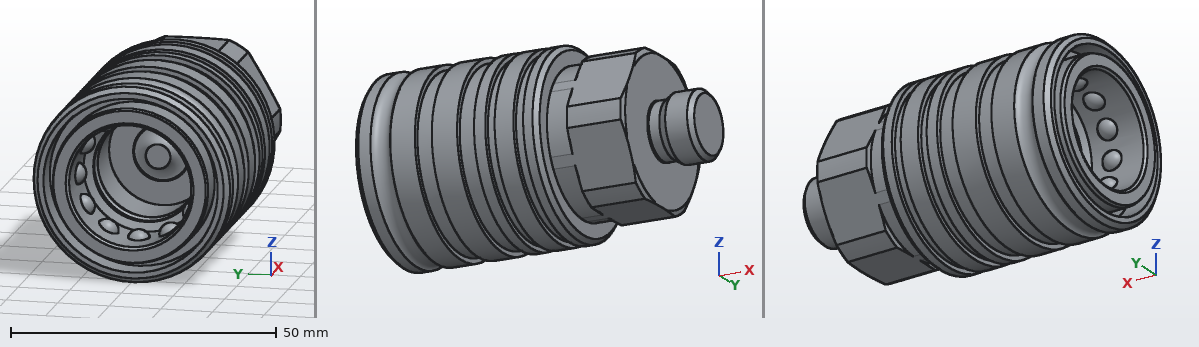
import cadquery as cq
import math


sleeve_start = 0.85
sleeve_end = 39.9
sleeve_radius = 19.0
sleeve_chamfer = 1.0
groove_cut_margin = 0.65
band_groove_radius = 17.95
band_grooves = [(13.9, 17.5), (22.9, 26.5), (28.85, 30.85), (34.85, 36.9)]
grip_start = 4.45
grip_end = 8.65
grip_depth = 1.45
recess_radius = 16.9
recess_depth = 5.3

nut_start = 44.55
nut_end = 56.5
nut_flats = 30.0
nut_corner_radius = 16.2
nut_front_bevel = 0.2
nut_rear_bevel = 0.4

barrel_flat_strip = 2.3
barrel_radius = math.hypot(nut_flats / 2, barrel_flat_strip / 2)
barrel_taper_length = 0.8
barrel_taper_drop = 0.25

socket_radius = 11.85
mouth_chamfer = 0.5
socket_depth = 12.5
seat_radius = 10.2
seat_depth = 13.4
bore_depth = 26.6
seal_start = 14.35
seal_bead_radius = 1.3
seal_crown_radius = 9.85

ball_count = 12
ball_radius = 2.25
ball_circle_radius = 12.5
ball_x = 7.8

nose_tip_radius = 2.4
nose_base_radius = 5.4
nose_flare = nose_base_radius - nose_tip_radius
nose_groove_radius = 5.5
nose_groove_depth = 0.3

plug_end = 66.5
plug_radius = 7.0
plug_collar_radius = 6.0
plug_collar_end = 56.8
plug_neck_radius = 5.9
plug_neck_end = 59.05
plug_cone_end = 60.85
plug_chamfer = 1.0


def revolve_about_x(profile):
    """Turn a closed XY profile (Y is the radius) around the X axis."""
    return profile.close().revolve(360, (0, 0, 0), (1, 0, 0))


def x_cylinder(start, end, radius):
    return cq.Workplane("YZ", origin=(start, 0, 0)).circle(radius).extrude(end - start)


def x_ring(start, end, outer_radius, inner_radius):
    return x_cylinder(start, end, outer_radius).cut(x_cylinder(start, end, inner_radius))


def make_sleeve():
    grip_middle = (grip_start + grip_end) / 2
    profile = (
        cq.Workplane("XY")
        .moveTo(sleeve_start, recess_radius)
        .lineTo(sleeve_start, sleeve_radius - sleeve_chamfer)
        .lineTo(sleeve_start + sleeve_chamfer, sleeve_radius)
        .lineTo(grip_start, sleeve_radius)
        .threePointArc((grip_middle, sleeve_radius - grip_depth), (grip_end, sleeve_radius))
        .lineTo(sleeve_end - sleeve_chamfer, sleeve_radius)
        .lineTo(sleeve_end, sleeve_radius - sleeve_chamfer)
        .lineTo(sleeve_end, barrel_radius)
        .lineTo(sleeve_start + recess_depth, barrel_radius)
        .lineTo(sleeve_start + recess_depth, recess_radius)
    )
    sleeve = revolve_about_x(profile)
    for start, end in band_grooves:
        sleeve = sleeve.cut(x_ring(start, end, sleeve_radius + groove_cut_margin, band_groove_radius))
    return sleeve


def make_hex(start, end):
    """Hex prism along X with flats facing +Z and -Z."""
    corner_diameter = nut_flats / math.cos(math.pi / 6)
    return cq.Workplane("YZ", origin=(start, 0, 0)).polygon(6, corner_diameter).extrude(end - start)


def make_nut():
    envelope = revolve_about_x(
        cq.Workplane("XY")
        .moveTo(nut_start, 0)
        .lineTo(nut_start, barrel_radius)
        .lineTo(nut_start + nut_front_bevel, nut_corner_radius)
        .lineTo(nut_end - nut_rear_bevel, nut_corner_radius)
        .lineTo(nut_end, barrel_radius)
        .lineTo(nut_end, 0)
    )
    return envelope.intersect(make_hex(nut_start, nut_end))


def make_barrel():
    barrel = revolve_about_x(
        cq.Workplane("XY")
        .moveTo(0, 0)
        .lineTo(0, barrel_radius - barrel_taper_drop)
        .lineTo(barrel_taper_length, barrel_radius)
        .lineTo(sleeve_end, barrel_radius)
        .lineTo(sleeve_end, 0)
    )
    neck = x_cylinder(sleeve_end, nut_start, barrel_radius).intersect(make_hex(sleeve_end, nut_start))
    return barrel.union(neck)


def make_plug():
    return revolve_about_x(
        cq.Workplane("XY")
        .moveTo(nut_end, 0)
        .lineTo(nut_end, plug_collar_radius)
        .lineTo(plug_collar_end, plug_collar_radius)
        .lineTo(plug_collar_end, plug_neck_radius)
        .lineTo(plug_neck_end, plug_neck_radius)
        .lineTo(plug_cone_end, plug_radius)
        .lineTo(plug_end - plug_chamfer, plug_radius)
        .lineTo(plug_end, plug_radius - plug_chamfer)
        .lineTo(plug_end, 0)
    )


def make_socket_space():
    """Empty space of the socket, its cone, the bore and the flared nose standing in the bore."""
    seal_center_radius = seal_crown_radius + seal_bead_radius
    seal_end = seal_start + 2 * seal_bead_radius
    nose_x = bore_depth - nose_flare
    flare_mid = nose_flare * (1 - math.sqrt(0.5))
    return revolve_about_x(
        cq.Workplane("XY")
        .moveTo(0, 0)
        .lineTo(0, socket_radius + mouth_chamfer)
        .lineTo(mouth_chamfer, socket_radius)
        .lineTo(socket_depth, socket_radius)
        .lineTo(seat_depth, seat_radius)
        .lineTo(seal_start, seat_radius)
        .lineTo(seal_start, seal_center_radius)
        .threePointArc((seal_start + seal_bead_radius, seal_crown_radius), (seal_end, seal_center_radius))
        .lineTo(seal_end, seat_radius)
        .lineTo(bore_depth, seat_radius)
        .lineTo(bore_depth, nose_groove_radius)
        .lineTo(bore_depth + nose_groove_depth, nose_groove_radius)
        .lineTo(bore_depth + nose_groove_depth, nose_base_radius)
        .lineTo(bore_depth, nose_base_radius)
        .threePointArc((bore_depth - flare_mid, nose_tip_radius + flare_mid), (nose_x, nose_tip_radius))
        .lineTo(nose_x, 0)
    )


def make_balls():
    balls = []
    for i in range(ball_count):
        angle = 2 * math.pi * i / ball_count
        center = (ball_x, ball_circle_radius * math.cos(angle), ball_circle_radius * math.sin(angle))
        balls.append(cq.Workplane("XY").sphere(ball_radius).translate(center))
    return balls


def make_core():
    core = make_barrel().union(make_nut()).union(make_plug()).clean().cut(make_socket_space())
    for ball in make_balls():
        core = core.union(ball)
    return core


sleeve = make_sleeve()
core = make_core()
result = cq.Compound.makeCompound([sleeve.val(), *core.vals()])